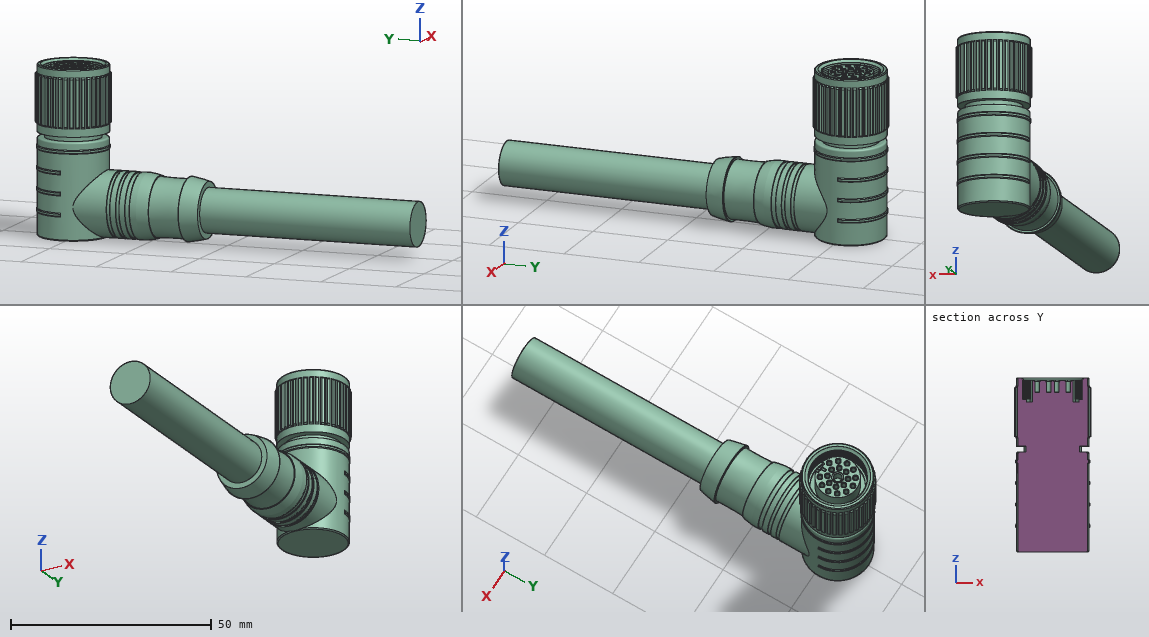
import math

import cadquery as cq


overall_height = 43.5
body_bottom = -8.6
rim_top = body_bottom + overall_height
cable_end = 92.0

body_radius = 9.05
body_top = 16.4
body_bottom_chamfer = 0.3
body_top_fillet = 0.5
rib_height = 0.2
rib_width = 1.0
rib_flat = 0.5
rib_pitch = 5.35
top_rib_level = 14.0
half_rib_count = 3

neck_radius = 7.2
nut_radius = 9.1
nut_bottom = rim_top - 17.1
rim_chamfer = 0.25
knurl_top = rim_top - 2.1
knurl_bottom = rim_top - 15.0
knurl_radius = 9.5
knurl_tooth_count = 40
knurl_tip_width = 0.7
knurl_root_width = 1.05
knurl_end_chamfer = 0.4

socket_mouth_radius = 8.2
socket_mouth_depth = 0.3
thread_major_radius = 7.8
thread_minor_radius = 7.4
thread_pitch = 0.5
thread_turns = 10
socket_bore_radius = 6.9
socket_depth = 6.0

insert_radius = 5.66
insert_top = rim_top - 0.6
contact_ring_radius = 4.45
contact_positions = 12
inner_contact_radius = 2.6
inner_contact_count = 8
contact_outer_radius = 0.72
contact_bore_radius = 0.52
contact_recess_depth = 0.3
contact_bore_depth = 3.0
centre_outer_radius = 1.5
centre_bore_radius = 1.1
keyway_width = 3.0
keyway_inner = 4.75
keyway_depth = 3.0
key_rib_width = 0.6
key_rib_drop = 1.0
index_groove_inner = 3.5
index_groove_depth = 0.3

outlet_radius = 8.5
outlet_groove_radius = 8.2
outlet_grooves = ((12.0, 12.9), (14.45, 15.35), (16.9, 18.1))
outlet_taper_start = 20.0
outlet_taper_end = 23.0
outlet_taper_radius = 7.95
grip_start_radius = 7.7
grip_end_radius = 7.6
grip_waist_radius = 7.55
collar_start = 31.0
collar_end = 35.9
collar_radius = 8.25
collar_end_radius = 7.25
collar_chamfer = 0.15
taper_bulge = 0.1
cable_radius = 5.75


def cylinder(radius, bottom, top, x=0, y=0):
    """Upright cylinder between two levels."""
    return cq.Workplane("XY", origin=(x, y, bottom)).circle(radius).extrude(top - bottom)


def make_rib(level, angle=360):
    """Raised band around the body; a 180 degree band covers the side away from the cable."""
    profile = (
        cq.Workplane("XZ")
        .moveTo(neck_radius, level - rib_width / 2)
        .lineTo(body_radius, level - rib_width / 2)
        .lineTo(body_radius + rib_height, level - rib_flat / 2)
        .lineTo(body_radius + rib_height, level + rib_flat / 2)
        .lineTo(body_radius, level + rib_width / 2)
        .lineTo(neck_radius, level + rib_width / 2)
        .close()
    )
    return profile.revolve(angle, (0, 0, 0), (0, 1, 0))


def make_body():
    body = cylinder(body_radius, body_bottom, body_top)
    body = body.faces("<Z").chamfer(body_bottom_chamfer).faces(">Z").edges().fillet(body_top_fillet)
    body = body.union(make_rib(top_rib_level))
    for index in range(1, half_rib_count + 1):
        body = body.union(make_rib(top_rib_level - index * rib_pitch, 180))
    return body


def make_outlet():
    """Cable outlet and cable as one turned shape about the cable axis."""
    outline = cq.Workplane("XY").moveTo(0, 0).lineTo(outlet_radius, 0)
    for start, end in outlet_grooves:
        outline = (
            outline.lineTo(outlet_radius, -start)
            .lineTo(outlet_groove_radius, -start)
            .lineTo(outlet_groove_radius, -end)
            .lineTo(outlet_radius, -end)
        )
    taper_middle = (
        (outlet_radius + outlet_taper_radius) / 2 + taper_bulge,
        -(outlet_taper_start + outlet_taper_end) / 2,
    )
    collar_middle = (
        (collar_radius + collar_end_radius) / 2 + taper_bulge,
        -(collar_start + collar_end) / 2,
    )
    grip_middle = (grip_waist_radius, -(outlet_taper_end + collar_start) / 2)
    outline = (
        outline.lineTo(outlet_radius, -outlet_taper_start)
        .threePointArc(taper_middle, (outlet_taper_radius, -outlet_taper_end))
        .lineTo(grip_start_radius, -outlet_taper_end)
        .threePointArc(grip_middle, (grip_end_radius, -collar_start))
        .lineTo(collar_radius - collar_chamfer, -collar_start)
        .lineTo(collar_radius, -collar_start - collar_chamfer)
        .threePointArc(collar_middle, (collar_end_radius, -collar_end))
        .lineTo(cable_radius, -collar_end)
        .lineTo(cable_radius, -cable_end)
        .lineTo(0, -cable_end)
        .close()
    )
    return outline.revolve(360, (0, 0, 0), (0, 1, 0))


def make_knurl():
    """Ring of straight teeth, cut to a chamfer at both ends."""
    tooth = (
        cq.Workplane("XY", origin=(0, 0, knurl_bottom))
        .polyline([
            (neck_radius, -knurl_root_width / 2),
            (nut_radius, -knurl_root_width / 2),
            (knurl_radius, -knurl_tip_width / 2),
            (knurl_radius, knurl_tip_width / 2),
            (nut_radius, knurl_root_width / 2),
            (neck_radius, knurl_root_width / 2),
        ])
        .close()
        .extrude(knurl_top - knurl_bottom)
    )
    knurl = cylinder(nut_radius, knurl_bottom, knurl_top)
    for index in range(knurl_tooth_count):
        knurl = knurl.union(tooth.rotate((0, 0, 0), (0, 0, 1), index * 360 / knurl_tooth_count))
    tip_radius = math.hypot(knurl_radius, knurl_tip_width / 2)
    envelope = cylinder(tip_radius, knurl_bottom, knurl_top).edges().chamfer(knurl_end_chamfer)
    return knurl.intersect(envelope)


def make_socket():
    """Cavity of the nut: chamfered mouth, ring-shaped thread grooves and plain bore."""
    mouth_bottom = rim_top - socket_mouth_depth
    outline = (
        cq.Workplane("XZ")
        .moveTo(0, rim_top)
        .lineTo(socket_mouth_radius, rim_top)
        .lineTo(thread_major_radius, mouth_bottom)
    )
    for turn in range(thread_turns):
        turn_top = mouth_bottom - turn * thread_pitch
        outline = (
            outline.lineTo(thread_minor_radius, turn_top - thread_pitch / 2)
            .lineTo(thread_major_radius, turn_top - thread_pitch)
        )
    thread_bottom = mouth_bottom - thread_turns * thread_pitch
    socket_floor = rim_top - socket_depth
    outline = (
        outline.lineTo(socket_bore_radius, thread_bottom)
        .lineTo(socket_bore_radius, socket_floor)
        .lineTo(0, socket_floor)
        .close()
    )
    return outline.revolve(360, (0, 0, 0), (0, 1, 0))


def make_nut():
    nut = cylinder(nut_radius, nut_bottom, rim_top).faces(">Z").chamfer(rim_chamfer)
    nut = nut.union(make_knurl()).cut(make_socket())
    return nut.union(cylinder(neck_radius, body_top, nut_bottom))


def stepped_hole(outer_radius, bore_radius, x=0, y=0):
    """Shallow recess with a narrower, deeper bore below it."""
    recess = cylinder(outer_radius, insert_top - contact_recess_depth, insert_top, x, y)
    return recess.union(cylinder(bore_radius, insert_top - contact_bore_depth, insert_top, x, y))


def radial_block(width, inner, outer, top, depth):
    """Box lying on the cable side of the insert, between two distances from its axis."""
    return cq.Workplane("XY", origin=(0, -(inner + outer) / 2, top - depth)).box(
        width, outer - inner, depth, centered=(True, True, False)
    )


def make_keyway():
    """Notch in the insert edge with a low rib on its floor, led in by a shallow index groove."""
    notch = radial_block(keyway_width, keyway_inner, insert_radius, insert_top, keyway_depth)
    rib_height_in_notch = keyway_depth - key_rib_drop
    rib = radial_block(
        key_rib_width, keyway_inner, insert_radius, insert_top - key_rib_drop, rib_height_in_notch
    )
    groove = radial_block(
        key_rib_width, index_groove_inner, keyway_inner, insert_top, index_groove_depth
    )
    return notch.cut(rib).union(groove)


def make_insert():
    insert = cylinder(insert_radius, rim_top - socket_depth, insert_top)
    insert = insert.cut(stepped_hole(centre_outer_radius, centre_bore_radius))
    outer_step = 2 * math.pi / contact_positions
    outer_angles = [-math.pi / 2 + i * outer_step for i in range(1, contact_positions)]
    inner_step = 2 * math.pi / inner_contact_count
    inner_angles = [(i + 0.5) * inner_step for i in range(inner_contact_count)]
    for ring_radius, angles in (
        (contact_ring_radius, outer_angles),
        (inner_contact_radius, inner_angles),
    ):
        for angle in angles:
            x = ring_radius * math.cos(angle)
            y = ring_radius * math.sin(angle)
            insert = insert.cut(stepped_hole(contact_outer_radius, contact_bore_radius, x, y))
    return insert.cut(make_keyway())


result = make_body().union(make_outlet()).union(make_nut()).union(make_insert())